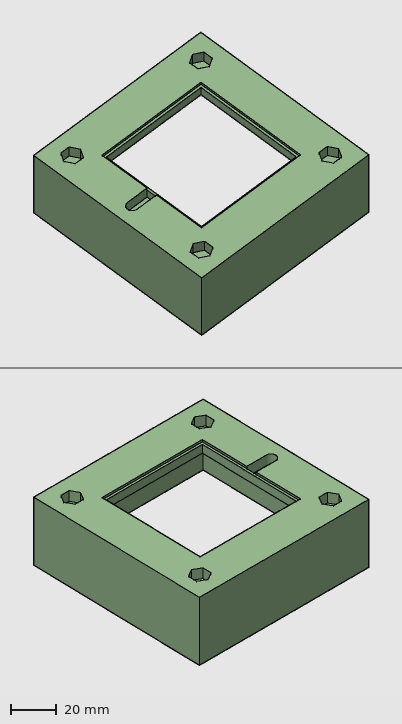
import cadquery as cq

side = 104.0
height = 37.0
bottom_sheet = 0.8
gasket = 2.3
upper_plate = 4.6
top_sheet = 1.2
body = height - bottom_sheet - gasket - upper_plate - top_sheet

window = 58.9
rim_step = 1.4
rim_window = window + 2 * rim_step
rim_depth = top_sheet

wall = 1.6
top_thickness = 6.0
cavity = side - 2 * wall
cavity_height = height - top_thickness

hex_offset = 40.0
hex_flats = 8.9
pocket_floor = 0.2
hex_depth = top_thickness - pocket_floor

slot_width = 5.8
slot_end_y = -45.8
slot_depth = hex_depth


def square_block(bottom, width, thickness):
    """Square block centered on the vertical axis."""
    return cq.Workplane("XY").workplane(offset=bottom).rect(width, width).extrude(thickness)


def hex_pocket(x, y, turn):
    """Hexagonal cutter reaching down from the top; turn is in degrees."""
    hex_corners = hex_flats / (3 ** 0.5 / 2)
    cutter = cq.Workplane("XY").polygon(6, hex_corners).extrude(hex_depth)
    cutter = cutter.rotate((0, 0, 0), (0, 0, 1), turn)
    return cutter.translate((x, y, height - hex_depth))


def slot_cutter():
    """Straight slot with a semicircular closed end, starting at the rim step."""
    radius = slot_width / 2
    arc_y = slot_end_y + radius
    open_y = -rim_window / 2
    return (
        cq.Workplane("XY")
        .workplane(offset=height - slot_depth)
        .moveTo(-radius, open_y)
        .lineTo(-radius, arc_y)
        .threePointArc((0, slot_end_y), (radius, arc_y))
        .lineTo(radius, open_y)
        .close()
        .extrude(slot_depth)
    )


result = square_block(0, side, bottom_sheet)
level = bottom_sheet
for thickness in (body, gasket, upper_plate, top_sheet):
    result = result.union(square_block(level, side, thickness), clean=False)
    level += thickness

result = result.cut(square_block(0, cavity, cavity_height), clean=False)
result = result.cut(square_block(0, window, height), clean=False)
result = result.cut(square_block(height - rim_depth, rim_window, rim_depth), clean=False)

for x_sign in (-1, 1):
    for y_sign in (-1, 1):
        turn = 30 if x_sign == y_sign else 0
        pocket = hex_pocket(x_sign * hex_offset, y_sign * hex_offset, turn)
        result = result.cut(pocket, clean=False)

result = result.cut(slot_cutter(), clean=False)